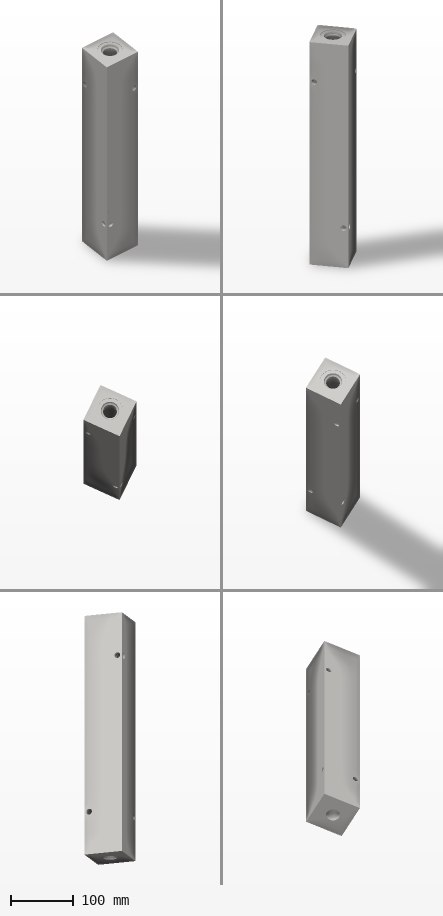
import cadquery as cq

side = 63.5
length = 393.7

seat_diameter = 41.0
seat_depth = 0.8

taper_top_diameter = 29.0
taper_bottom_diameter = 26.8
taper_depth = 3.0
lead_in_depth = 1.5
bore_diameter = 22.0

cross_hole_diameter = 9.5
cross_hole_edge_offset = 8.0
cross_hole_end_offset = 70.0

top_z = length / 2
bottom_z = -length / 2


def make_bore_cutter():
    """Solid of revolution that clears the seat, the tapers and the bore."""
    seat_floor_z = top_z - seat_depth
    taper_bottom_z = seat_floor_z - taper_depth
    bore_top_z = taper_bottom_z - lead_in_depth
    half_profile = (
        cq.Workplane("XZ")
        .moveTo(0, bottom_z)
        .lineTo(bore_diameter / 2, bottom_z)
        .lineTo(bore_diameter / 2, bore_top_z)
        .lineTo(taper_bottom_diameter / 2, taper_bottom_z)
        .lineTo(taper_top_diameter / 2, seat_floor_z)
        .lineTo(seat_diameter / 2, seat_floor_z)
        .lineTo(seat_diameter / 2, top_z)
        .lineTo(0, top_z)
        .close()
    )
    return half_profile.revolve(360, (0, 0, 0), (0, 1, 0))


def make_cross_hole(plane, across, z):
    """Cylinder through the whole bar, normal to the given plane."""
    return (
        cq.Workplane(plane)
        .center(across, z)
        .circle(cross_hole_diameter / 2)
        .extrude(side, both=True)
    )


bar = cq.Workplane("XY").box(side, side, length)
result = bar.cut(make_bore_cutter())

hole_reach = side / 2 - cross_hole_edge_offset
upper_hole_z = top_z - cross_hole_end_offset
lower_hole_z = bottom_z + cross_hole_end_offset
for direction, hole_z in ((-1, upper_hole_z), (1, lower_hole_z)):
    result = result.cut(make_cross_hole("XZ", direction * hole_reach, hole_z))
    result = result.cut(make_cross_hole("YZ", -direction * hole_reach, hole_z))